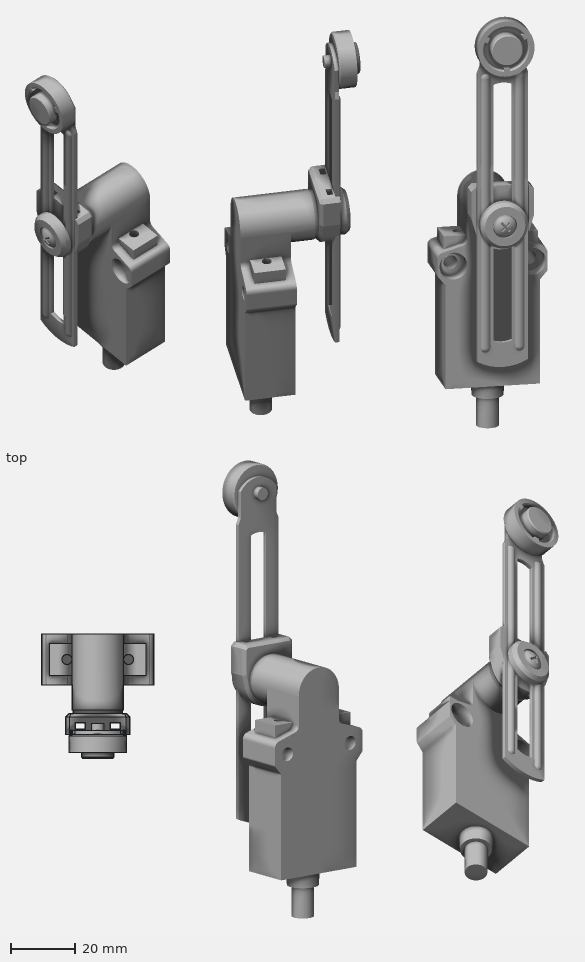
import cadquery as cq
import math


total_depth = 38.8

body_width = 30.0
body_depth = 16.0
body_bottom = -58.0
body_top = -9.0
ear_span = 35.0
ear_corner_height = -13.9
ear_shoulder_slope = 0.3
ear_side_bottom = -21.2
ear_undercut_drop = 2.9
ear_shoulder_radius = 2.0
ear_undercut_radius = 1.0
mount_hole_x = 12.5
mount_hole_z = -18.0
mount_hole_radius = 2.2
mount_recess_radius = 4.4
mount_recess_depth = 4.5
block_depth = 10.0
block_hole_x = 9.6
block_hole_radius = 1.55
block_hole_depth = 3.0
boot_top_radius = 5.3
boot_bottom_radius = 5.0
boot_length = 5.0
cable_radius = 3.55
cable_bottom = -73.0

head_radius = 8.0
head_depth = 24.9
nose_radius = 7.7
nose_length = 1.1

hub_half_width = 10.0
hub_top = 11.85
hub_flank_end = 2.1
hub_round_radius = 9.0
hub_corner_chamfer = 1.2
hub_back_chamfer = 1.0
hub_groove_half_width = 8.4
hub_slot_inner = 3.9
hub_slot_outer = 7.0
hub_slot_width = 1.9
hub_slot_lip = 0.4

arm_front_depth = 31.4
arm_thickness = 1.3
arm_half_width = 8.0
arm_neck_half_width = 7.1
arm_bottom_corner = -44.9
arm_bottom_apex = -47.0
roller_center_z = 58.41
arm_neck_bottom = roller_center_z - 7.0
arm_shoulder = roller_center_z - 9.2
arm_top_corner = roller_center_z + 1.3
arm_top_apex = roller_center_z + 5.05
arm_slot_half_width = 3.0
arm_slot_bottom = -38.4
arm_slot_top = 45.2
arm_slot_rise = 0.6
rib_x = 5.45
rib_half_width = 1.5
rib_height = 0.8
rib_bottom = -40.5
rib_top = roller_center_z - 10.9

washer_radius = 7.5
washer_edge_thickness = 1.9
washer_thickness = 3.15
screw_seat_thickness = 1.2
washer_chamfer_width = 1.1
washer_bore_radius = 3.8
screw_head_radius = 3.6
screw_head_sink = 0.5
screw_head_rise = 0.95
screw_shank_radius = 2.5
screw_tip_depth = 27.0
cross_arm_length = 3.9
cross_arm_width = 0.8
cross_depth = 1.2
cross_angle = 43.0

roller_radius = 9.0
roller_front_depth = 37.0
roller_back_chamfer = 0.4
roller_recess_radius = 7.0
roller_recess_chamfer = 0.4
roller_recess_depth = 2.0
roller_tab_count = 3
roller_tab_width = 1.8
roller_tab_reach = 0.7
roller_tab_start_angle = 32.0
rivet_radius = 2.0
rivet_back_depth = 28.0
rivet_head_radius = 5.05
rivet_head_chamfer = 0.35

arm_back_depth = arm_front_depth - arm_thickness
rib_front_depth = arm_front_depth + rib_height
screw_seat_depth = rib_front_depth + screw_seat_thickness
washer_front_depth = rib_front_depth + washer_thickness
roller_recess_floor = roller_front_depth - roller_recess_depth
body_mid_depth = body_depth / 2


def plane_at(depth):
    """Workplane across Y at the given depth; it extrudes toward -Y."""
    return cq.Workplane("XZ", origin=(0, -depth, 0))


def disc(radius, start_depth, end_depth, center_z=0.0):
    """Cylinder along Y between two depths."""
    return plane_at(start_depth).center(0, center_z).circle(radius).extrude(end_depth - start_depth)


def box_between(x_min, x_max, start_depth, end_depth, z_min, z_max):
    """Box given by its limits, with depths measured along -Y."""
    size = (x_max - x_min, end_depth - start_depth, z_max - z_min)
    return cq.Workplane("XY").box(*size, centered=False).translate((x_min, -end_depth, z_min))


def make_cable():
    boot_bottom = body_bottom - boot_length
    half_profile = [
        (0, body_bottom),
        (boot_top_radius, body_bottom),
        (boot_bottom_radius, boot_bottom),
        (cable_radius, boot_bottom),
        (cable_radius, cable_bottom),
        (0, cable_bottom),
    ]
    cable = cq.Workplane("XZ").polyline(half_profile).close().revolve(360, (0, 0), (0, 1))
    return cable.translate((0, -body_mid_depth, 0))


def make_housing():
    half_body = body_width / 2
    half_span = ear_span / 2
    shoulder_inner_z = ear_corner_height + ear_shoulder_slope * (half_span - head_radius)
    undercut_bottom = ear_side_bottom - ear_undercut_drop
    right_side = [
        (head_radius, body_top),
        (head_radius, shoulder_inner_z),
        (half_span, ear_corner_height),
        (half_span, ear_side_bottom),
        (half_body, undercut_bottom),
        (half_body, body_bottom),
    ]
    left_side = [(-x, z) for x, z in reversed(right_side)]
    shell = plane_at(0).polyline(right_side + left_side).close().extrude(body_depth)

    def edges_near(x, z):
        margin = 0.1
        low = (x - margin, -body_depth - margin, z - margin)
        high = (x + margin, margin, z + margin)
        return cq.selectors.BoxSelector(low, high)

    for side in (-1, 1):
        for x, z in ((head_radius, shoulder_inner_z), (half_span, ear_corner_height)):
            shell = shell.edges(edges_near(side * x, z)).fillet(ear_shoulder_radius)
        for x, z in ((half_span, ear_side_bottom), (half_body, undercut_bottom)):
            shell = shell.edges(edges_near(side * x, z)).fillet(ear_undercut_radius)

    block = box_between(
        -half_body, half_body,
        body_mid_depth - block_depth / 2, body_mid_depth + block_depth / 2,
        mount_hole_z, body_top,
    )
    block_holes = (
        cq.Workplane("XY", origin=(0, -body_mid_depth, body_top))
        .pushPoints([(-block_hole_x, 0), (block_hole_x, 0)])
        .circle(block_hole_radius)
        .extrude(-block_hole_depth)
    )
    mount_points = [(-mount_hole_x, mount_hole_z), (mount_hole_x, mount_hole_z)]
    mount_holes = plane_at(0).pushPoints(mount_points).circle(mount_hole_radius).extrude(body_depth)
    mount_recesses = (
        plane_at(body_depth - mount_recess_depth)
        .pushPoints(mount_points)
        .circle(mount_recess_radius)
        .extrude(mount_recess_depth)
    )
    housing = shell.union(block).cut(block_holes).cut(mount_holes).cut(mount_recesses)
    return housing.union(make_cable())


def make_head():
    barrel = disc(head_radius, 0, head_depth - nose_length)
    nose = disc(nose_radius, head_depth - nose_length, head_depth)
    foot = box_between(-head_radius, head_radius, 0, body_depth, body_top, 0)
    return barrel.union(nose).union(foot)


def make_hub():
    corner_distance = math.hypot(hub_half_width, hub_flank_end)
    tangent_angle = math.atan2(hub_flank_end, hub_half_width) - math.acos(hub_round_radius / corner_distance)
    tangent_x = hub_round_radius * math.cos(tangent_angle)
    tangent_z = hub_round_radius * math.sin(tangent_angle)
    hub = (
        plane_at(head_depth)
        .moveTo(-hub_half_width, hub_flank_end)
        .lineTo(-hub_half_width, hub_top)
        .lineTo(hub_half_width, hub_top)
        .lineTo(hub_half_width, hub_flank_end)
        .lineTo(tangent_x, tangent_z)
        .threePointArc((0, -hub_round_radius), (-tangent_x, tangent_z))
        .close()
        .extrude(arm_front_depth - head_depth)
    )
    hub = hub.edges("|Y and >Z").chamfer(hub_corner_chamfer)
    hub = hub.faces(">Y").chamfer(hub_back_chamfer)

    groove = box_between(
        -hub_groove_half_width, hub_groove_half_width,
        arm_back_depth, arm_front_depth, -hub_top, hub_top,
    )
    hub = hub.cut(groove)
    slot_front_depth = arm_back_depth - hub_slot_lip
    slot = box_between(
        hub_slot_inner, hub_slot_outer,
        slot_front_depth - hub_slot_width, slot_front_depth, -hub_top, hub_top,
    )
    hub = hub.cut(slot).cut(slot.mirror("YZ"))
    return hub.cut(disc(screw_shank_radius, screw_tip_depth, arm_front_depth))


def make_rib(x):
    """Raised rib with a circular-arc section and rounded ends, lying on the arm's front face."""
    section_radius = (rib_half_width**2 + rib_height**2) / (2 * rib_height)
    axis_depth = rib_front_depth - section_radius
    rib = (
        cq.Workplane("XY", origin=(x, -axis_depth, rib_bottom))
        .circle(section_radius)
        .extrude(rib_top - rib_bottom)
    )
    for z in (rib_bottom, rib_top):
        rib = rib.union(cq.Workplane("XY").sphere(section_radius).translate((x, -axis_depth, z)))
    raised_part = box_between(
        x - section_radius, x + section_radius,
        arm_front_depth, rib_front_depth,
        rib_bottom - section_radius, rib_top + section_radius,
    )
    return rib.intersect(raised_part)


def make_arm():
    arm = (
        plane_at(arm_back_depth)
        .moveTo(-arm_half_width, arm_bottom_corner)
        .threePointArc((0, arm_bottom_apex), (arm_half_width, arm_bottom_corner))
        .lineTo(arm_half_width, arm_shoulder)
        .lineTo(arm_neck_half_width, arm_neck_bottom)
        .lineTo(arm_neck_half_width, arm_top_corner)
        .threePointArc((0, arm_top_apex), (-arm_neck_half_width, arm_top_corner))
        .lineTo(-arm_neck_half_width, arm_neck_bottom)
        .lineTo(-arm_half_width, arm_shoulder)
        .close()
        .extrude(arm_thickness)
    )
    slot = (
        plane_at(arm_back_depth)
        .moveTo(-arm_slot_half_width, arm_slot_bottom)
        .threePointArc((0, arm_slot_bottom - arm_slot_rise), (arm_slot_half_width, arm_slot_bottom))
        .lineTo(arm_slot_half_width, arm_slot_top)
        .threePointArc((0, arm_slot_top + arm_slot_rise), (-arm_slot_half_width, arm_slot_top))
        .close()
        .extrude(arm_thickness)
    )
    arm = arm.cut(slot)
    for x in (-rib_x, rib_x):
        arm = arm.union(make_rib(x))
    return arm.cut(disc(rivet_radius, arm_back_depth, arm_front_depth, roller_center_z))


def make_washer():
    half_profile = [
        (screw_shank_radius, -rib_front_depth),
        (washer_radius, -rib_front_depth),
        (washer_radius, -rib_front_depth - washer_edge_thickness),
        (washer_radius - washer_chamfer_width, -washer_front_depth),
        (washer_bore_radius, -washer_front_depth),
        (washer_bore_radius, -screw_seat_depth),
        (screw_shank_radius, -screw_seat_depth),
    ]
    return cq.Workplane("XY").polyline(half_profile).close().revolve(360, (0, 0), (0, 1))


def make_screw():
    dome_edge_depth = washer_front_depth - screw_head_sink
    dome_apex = washer_front_depth + screw_head_rise
    dome_height = dome_apex - dome_edge_depth
    dome_radius = (screw_head_radius**2 + dome_height**2) / (2 * dome_height)
    mid_x = screw_head_radius / 2
    mid_depth = dome_apex - dome_radius + math.sqrt(dome_radius**2 - mid_x**2)
    screw = (
        cq.Workplane("XY")
        .moveTo(0, -screw_tip_depth)
        .lineTo(screw_shank_radius, -screw_tip_depth)
        .lineTo(screw_shank_radius, -screw_seat_depth)
        .lineTo(screw_head_radius, -screw_seat_depth)
        .lineTo(screw_head_radius, -dome_edge_depth)
        .threePointArc((mid_x, -mid_depth), (0, -dome_apex))
        .close()
        .revolve(360, (0, 0), (0, 1))
    )
    for angle in (cross_angle, cross_angle + 90):
        cross_arm = (
            plane_at(dome_apex - cross_depth)
            .transformed(rotate=(0, 0, angle))
            .rect(cross_arm_length, cross_arm_width)
            .extrude(cross_depth)
        )
        screw = screw.cut(cross_arm)
    return screw


def make_roller():
    roller = disc(roller_radius, arm_front_depth, roller_front_depth, roller_center_z)
    roller = roller.faces(">Y").chamfer(roller_back_chamfer)
    roller = roller.cut(disc(roller_recess_radius, roller_recess_floor, roller_front_depth, roller_center_z))
    recess_rim = cq.selectors.RadiusNthSelector(0)
    roller = roller.faces("<Y").edges(recess_rim).chamfer(roller_recess_chamfer)
    tab_inner = roller_recess_radius - roller_tab_reach
    tab_outer = (roller_recess_radius + roller_radius) / 2
    for index in range(roller_tab_count):
        angle = roller_tab_start_angle + index * 360 / roller_tab_count
        tab = (
            plane_at(roller_recess_floor)
            .center(0, roller_center_z)
            .transformed(rotate=(0, 0, angle))
            .center((tab_inner + tab_outer) / 2, 0)
            .rect(tab_outer - tab_inner, roller_tab_width)
            .extrude(roller_recess_depth)
        )
        roller = roller.union(tab)
    return roller.cut(disc(rivet_radius, arm_front_depth, roller_front_depth, roller_center_z))


def make_rivet():
    shank = disc(rivet_radius, rivet_back_depth, roller_recess_floor, roller_center_z)
    head = disc(rivet_head_radius, roller_recess_floor, total_depth, roller_center_z)
    head = head.faces("<Y").chamfer(rivet_head_chamfer)
    return shank.union(head)


housing = make_housing()
head = make_head()
hub = make_hub()
arm = make_arm()
washer = make_washer()
screw = make_screw()
roller = make_roller()
rivet = make_rivet()

result = cq.Compound.makeCompound(
    [body.val() for body in (housing, head, hub, arm, washer, screw, roller, rivet)]
)